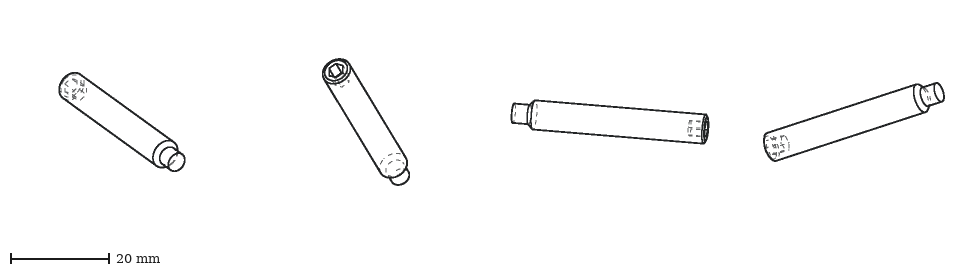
import cadquery as cq
import math

total_length = 40.0
body_diameter = 6.0

point_diameter = 4.0
point_length = 3.25
cone_angle = 45

chamfer_angle = 30
socket_face_diameter = 4.9

socket_sides = 6
socket_across_flats = 3.0
socket_depth = 3.5

body_radius = body_diameter / 2
point_radius = point_diameter / 2
socket_face_radius = socket_face_diameter / 2
chamfer_length = (body_radius - socket_face_radius) * math.tan(math.radians(chamfer_angle))
cone_length = (body_radius - point_radius) / math.tan(math.radians(cone_angle))
point_start = total_length - point_length
cone_start = point_start - cone_length


def make_shank():
    """Body, chamfer, cone and dog point, turned as one profile about the X axis."""
    profile = [
        (0, 0),
        (0, socket_face_radius),
        (chamfer_length, body_radius),
        (cone_start, body_radius),
        (point_start, point_radius),
        (total_length, point_radius),
        (total_length, 0),
    ]
    return (
        cq.Workplane("XZ")
        .polyline(profile)
        .close()
        .revolve(360, (0, 0, 0), (1, 0, 0))
    )


def make_socket():
    """Hexagonal prism, corners up and down, reaching into the body from X = 0."""
    across_corners = socket_across_flats / math.cos(math.pi / socket_sides)
    corner_up = cq.Plane(origin=(0, 0, 0), xDir=(0, 0, 1), normal=(1, 0, 0))
    return cq.Workplane(corner_up).polygon(socket_sides, across_corners).extrude(socket_depth)


result = make_shank().cut(make_socket())